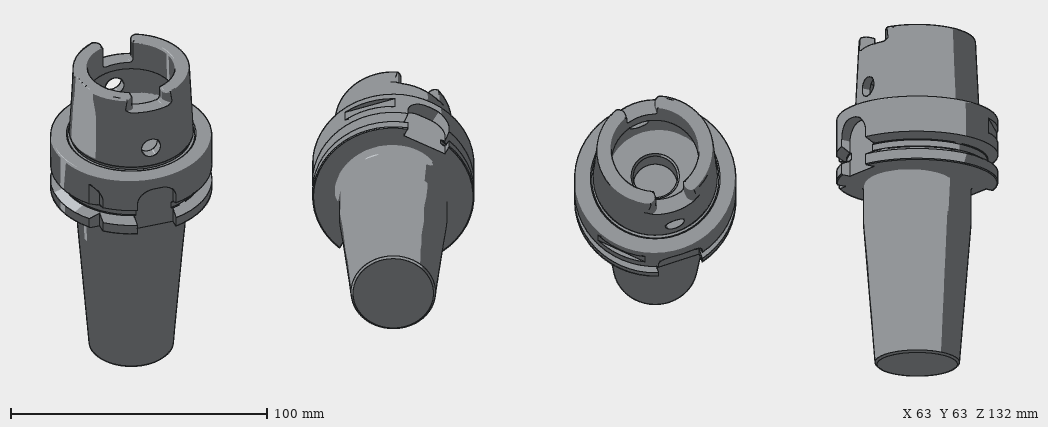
import cadquery as cq
import math

SHANK_TOP = 32.0
TOTAL_LENGTH = 132.0
BOTTOM = SHANK_TOP - TOTAL_LENGTH

TAPER_GAUGE_RADIUS = 24.0
TAPER_GAUGE_HEIGHT = 6.3
TAPER_RATIO = 1 / 20
TAPER_FOOT = 1.9
RELIEF_SHOULDER = 1.1
RELIEF_RADIUS = 23.6
RELIEF_DEPTH = 0.5
RELIEF_OUTER_RADIUS = 24.8
RELIEF_RIM_RADIUS = 25.3
TOP_EDGE_ROUND = 1.0

FLANGE_RADIUS = 31.5
FLANGE_BOTTOM = -26.0
FLANGE_EDGE_ROUND = 0.9
FLANGE_BOTTOM_CHAMFER = 0.4
GROOVE_RADIUS = 27.45
GROOVE_CENTRE = -18.1
GROOVE_HALF_MOUTH = 3.54
GROOVE_FLARE_ANGLE = math.radians(27)
GROOVE_FILLET = 0.4

NOSE_RADIUS = 21.0
NOSE_TIP_RADIUS = 16.5
NOSE_TAPER_ANGLE = math.radians(4.5)
NOSE_ROOT_FILLET = 3.0
NOSE_TIP_CHAMFER = 0.8

BORE_RADIUS = 17.0
CLAMP_EDGE = 19.0
CLAMP_ANGLE = math.radians(30)
CHAMBER_RADIUS = 20.2
CHAMBER_FLOOR = 2.0
CHAMBER_FILLET = 4.2
COOLANT_RADIUS = 8.6
COOLANT_CHAMFER = 0.8
COOLANT_DEPTH = 10.0

SLOT_HALF_WIDTH = 6.15
SLOT_DEPTHS = {-1: 10.0, 1: 6.0}
SLOT_FLARE_START = 18.0
SLOT_FLARE_RADIUS = 2.9
SLOT_FLOOR_FILLET = 1.5

CROSS_HOLE_RADIUS = 3.9
CROSS_HOLE_HEIGHT = 9.1

KEYWAY_FLOOR = 26.5
KEYWAY_WIDTHS = {-1: 18.0, 1: 16.0}
KEYWAY_TOP = -5.1
KEYWAY_ROUND = 6.8

NOTCH_FLOOR_X = 20.05
NOTCH_WALL_Y = -20.0
NOTCH_TOP = -4.7
NOTCH_ROUND = 7.2

FLAT_AZIMUTH = 135.0
FLAT_DISTANCE = 29.8
FLAT_CENTRE = -7.0
FLAT_HEIGHT = 5.9

CLEARANCE = 5.0
ENVELOPE_RADIUS = FLANGE_RADIUS + CLEARANCE


def taper_radius(height):
    return TAPER_GAUGE_RADIUS - (height - TAPER_GAUGE_HEIGHT) * TAPER_RATIO


def turned_body():
    """Everything turned on the outside: shank, relief, flange with its groove, and nose."""
    fillet_run = GROOVE_FILLET * math.tan((math.pi / 2 - GROOVE_FLARE_ANGLE) / 2)
    flare_foot_radius = GROOVE_RADIUS + fillet_run * math.cos(GROOVE_FLARE_ANGLE)
    flare_drop = (FLANGE_RADIUS - flare_foot_radius) * math.tan(GROOVE_FLARE_ANGLE)
    foot_half_width = GROOVE_HALF_MOUTH - flare_drop
    wall_half_width = foot_half_width - fillet_run * (1 + math.sin(GROOVE_FLARE_ANGLE))
    nose_cone_length = (NOSE_RADIUS - NOSE_TIP_RADIUS) / math.tan(NOSE_TAPER_ANGLE)
    foot_radius = taper_radius(TAPER_FOOT)
    profile = (
        cq.Workplane("YZ")
        .moveTo(0, SHANK_TOP)
        .lineTo(taper_radius(SHANK_TOP), SHANK_TOP)
        .lineTo(foot_radius, TAPER_FOOT)
        .lineTo(foot_radius, RELIEF_SHOULDER)
        .lineTo(RELIEF_RADIUS, RELIEF_SHOULDER - (foot_radius - RELIEF_RADIUS))
        .lineTo(RELIEF_RADIUS, -RELIEF_DEPTH)
        .lineTo(RELIEF_OUTER_RADIUS, -RELIEF_DEPTH)
        .lineTo(RELIEF_RIM_RADIUS, 0)
        .lineTo(FLANGE_RADIUS - FLANGE_EDGE_ROUND, 0)
        .tangentArcPoint((FLANGE_RADIUS, -FLANGE_EDGE_ROUND), relative=False)
        .lineTo(FLANGE_RADIUS, GROOVE_CENTRE + GROOVE_HALF_MOUTH)
        .lineTo(flare_foot_radius, GROOVE_CENTRE + foot_half_width)
        .tangentArcPoint((GROOVE_RADIUS, GROOVE_CENTRE + wall_half_width), relative=False)
        .lineTo(GROOVE_RADIUS, GROOVE_CENTRE - wall_half_width)
        .tangentArcPoint((flare_foot_radius, GROOVE_CENTRE - foot_half_width), relative=False)
        .lineTo(FLANGE_RADIUS, GROOVE_CENTRE - GROOVE_HALF_MOUTH)
        .lineTo(FLANGE_RADIUS, FLANGE_BOTTOM + FLANGE_BOTTOM_CHAMFER)
        .lineTo(FLANGE_RADIUS - FLANGE_BOTTOM_CHAMFER, FLANGE_BOTTOM)
        .lineTo(NOSE_RADIUS + NOSE_ROOT_FILLET, FLANGE_BOTTOM)
        .tangentArcPoint((NOSE_RADIUS, FLANGE_BOTTOM - NOSE_ROOT_FILLET), relative=False)
        .lineTo(NOSE_RADIUS, BOTTOM + nose_cone_length)
        .lineTo(NOSE_TIP_RADIUS, BOTTOM + NOSE_TIP_CHAMFER)
        .lineTo(NOSE_TIP_RADIUS - NOSE_TIP_CHAMFER, BOTTOM)
        .lineTo(0, BOTTOM)
        .close()
    )
    body = profile.revolve(360, (0, 0), (0, 1))
    return body.faces(">Z").edges().fillet(TOP_EDGE_ROUND)


def bore():
    """Stepped bore with a rounded mouth, a wider clamping chamber and a blind hole in its floor."""
    clamp_drop = (CHAMBER_RADIUS - BORE_RADIUS) * math.tan(CLAMP_ANGLE)
    profile = (
        cq.Workplane("YZ")
        .moveTo(0, SHANK_TOP + CLEARANCE)
        .lineTo(BORE_RADIUS + TOP_EDGE_ROUND, SHANK_TOP + CLEARANCE)
        .lineTo(BORE_RADIUS + TOP_EDGE_ROUND, SHANK_TOP)
        .radiusArc((BORE_RADIUS, SHANK_TOP - TOP_EDGE_ROUND), -TOP_EDGE_ROUND)
        .lineTo(BORE_RADIUS, CLAMP_EDGE)
        .lineTo(CHAMBER_RADIUS, CLAMP_EDGE - clamp_drop)
        .lineTo(CHAMBER_RADIUS, CHAMBER_FLOOR + CHAMBER_FILLET)
        .tangentArcPoint((CHAMBER_RADIUS - CHAMBER_FILLET, CHAMBER_FLOOR), relative=False)
        .lineTo(COOLANT_RADIUS + COOLANT_CHAMFER, CHAMBER_FLOOR)
        .lineTo(COOLANT_RADIUS, CHAMBER_FLOOR - COOLANT_CHAMFER)
        .lineTo(COOLANT_RADIUS, CHAMBER_FLOOR - COOLANT_DEPTH)
        .lineTo(0, CHAMBER_FLOOR - COOLANT_DEPTH)
        .close()
    )
    return profile.revolve(360, (0, 0), (0, 1))


def drive_slot(side):
    """Slot on one side of X whose walls round over into planes that just graze the shank."""
    depth = SLOT_DEPTHS[side]
    centre_x = SLOT_FLARE_START
    centre_y = SLOT_HALF_WIDTH + SLOT_FLARE_RADIUS
    azimuth = math.atan2(centre_y, centre_x)
    end_x = centre_x + SLOT_FLARE_RADIUS * math.cos(azimuth)
    end_y = centre_y + SLOT_FLARE_RADIUS * math.sin(azimuth)
    mid_angle = (azimuth - math.pi / 2) / 2
    mid_x = centre_x + SLOT_FLARE_RADIUS * math.cos(mid_angle)
    mid_y = centre_y + SLOT_FLARE_RADIUS * math.sin(mid_angle)
    tail_x = end_x - ENVELOPE_RADIUS * math.sin(azimuth)
    tail_y = end_y + ENVELOPE_RADIUS * math.cos(azimuth)
    inner_x = BORE_RADIUS - CLEARANCE
    outer_x = ENVELOPE_RADIUS + CLEARANCE
    cutter = (
        cq.Workplane("XY", origin=(0, 0, SHANK_TOP - depth))
        .moveTo(inner_x, -SLOT_HALF_WIDTH)
        .lineTo(centre_x, -SLOT_HALF_WIDTH)
        .threePointArc((mid_x, -mid_y), (end_x, -end_y))
        .lineTo(tail_x, -tail_y)
        .lineTo(outer_x, -tail_y)
        .lineTo(outer_x, tail_y)
        .lineTo(tail_x, tail_y)
        .lineTo(end_x, end_y)
        .threePointArc((mid_x, mid_y), (centre_x, SLOT_HALF_WIDTH))
        .lineTo(inner_x, SLOT_HALF_WIDTH)
        .close()
        .extrude(depth + CLEARANCE)
        .faces("<Z")
        .edges("not (<X or >X or <Y or >Y)")
        .fillet(SLOT_FLOOR_FILLET)
    )
    return cutter if side > 0 else cutter.mirror("YZ")


def slotted_envelope():
    """Cylinder around the whole part, with both drive slots and the rounds along their top edges."""
    envelope = (
        cq.Workplane("XY", origin=(0, 0, BOTTOM)).circle(ENVELOPE_RADIUS).extrude(TOTAL_LENGTH)
    )
    for side in SLOT_DEPTHS:
        envelope = envelope.cut(drive_slot(side))
    return envelope.faces(">Z").edges("|X").fillet(TOP_EDGE_ROUND)


def cross_hole():
    return (
        cq.Workplane("YZ", origin=(-FLANGE_RADIUS, 0, CROSS_HOLE_HEIGHT))
        .circle(CROSS_HOLE_RADIUS)
        .extrude(2 * FLANGE_RADIUS)
    )


def keyway(side):
    bottom = FLANGE_BOTTOM - CLEARANCE
    thickness = FLANGE_RADIUS - KEYWAY_FLOOR + CLEARANCE
    return (
        cq.Workplane("XY")
        .box(thickness, KEYWAY_WIDTHS[side], KEYWAY_TOP - bottom, centered=(True, True, False))
        .edges("|X and >Z")
        .fillet(KEYWAY_ROUND)
        .translate((side * (KEYWAY_FLOOR + thickness / 2), 0, bottom))
    )


def corner_notch():
    """Notch open towards +X, -Y and below, rounded where its wall meets its top."""
    bottom = FLANGE_BOTTOM - CLEARANCE
    size = 2 * NOTCH_ROUND
    return (
        cq.Workplane("XY")
        .box(size, size, NOTCH_TOP - bottom, centered=False)
        .edges("|X and >Z")
        .edges(">Y")
        .fillet(NOTCH_ROUND)
        .translate((NOTCH_FLOOR_X, NOTCH_WALL_Y - size, bottom))
    )


def flange_flat():
    return (
        cq.Workplane("XY")
        .box(CLEARANCE, 2 * FLANGE_RADIUS, FLAT_HEIGHT)
        .translate((FLAT_DISTANCE + CLEARANCE / 2, 0, FLAT_CENTRE))
        .rotate((0, 0, 0), (0, 0, 1), FLAT_AZIMUTH)
    )


result = turned_body().intersect(slotted_envelope()).cut(bore())
for side in KEYWAY_WIDTHS:
    result = result.cut(keyway(side))
result = result.cut(cross_hole()).cut(corner_notch()).cut(flange_flat())